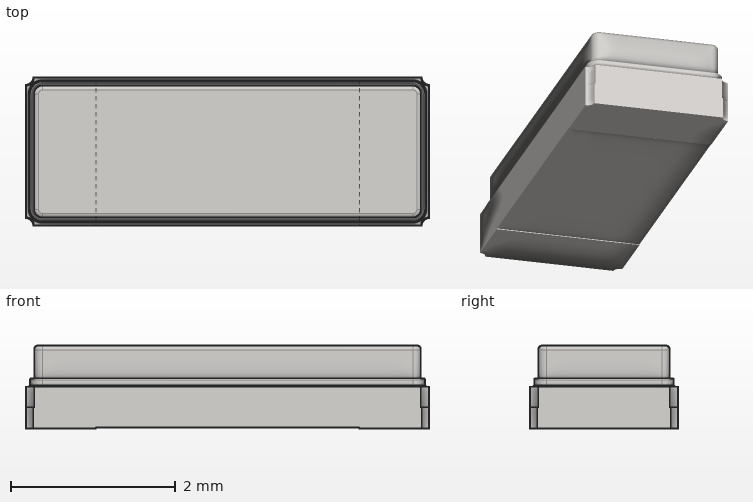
import cadquery as cq

base_length = 4.9
base_width = 1.8
base_height = 0.5
notch_radius = 0.1

plating = 0.01
pad_length = 0.85
plating_top = 0.26

collar_inset = 0.05
collar_height = 0.1
collar_edge = 0.02
seal_flare = 0.015
flare_slope = 45
lid_inset = 0.1
lid_corner_radius = 0.1
lid_top_fillet = 0.05
overall_height = 1.01

base_bottom = plating
base_top = base_bottom + base_height
collar_top = base_top + collar_height
collar_corner_radius = lid_corner_radius + lid_inset - collar_inset


def block(inset, bottom, top):
    """Rectangular block set in from the base outline on all four sides."""
    return (
        cq.Workplane("XY")
        .workplane(offset=bottom)
        .rect(base_length - 2 * inset, base_width - 2 * inset)
        .extrude(top - bottom)
    )


def corner_posts(radius, bottom, top):
    """Round posts centred on the four corners of the base outline."""
    return (
        cq.Workplane("XY")
        .workplane(offset=bottom)
        .rect(base_length, base_width, forConstruction=True)
        .vertices()
        .circle(radius)
        .extrude(top - bottom)
    )


def make_base():
    return block(0, base_bottom, base_top).cut(corner_posts(notch_radius, base_bottom, base_top))


def make_terminals():
    pad_gap = base_length - 2 * pad_length
    middle = cq.Workplane("XY").box(pad_gap, base_width, plating, centered=(True, True, False))
    pads = block(0, 0, base_bottom).cut(middle)
    notch_lining = corner_posts(notch_radius, base_bottom, plating_top).intersect(
        block(0, base_bottom, plating_top)
    )
    open_notch = corner_posts(notch_radius - plating, 0, plating_top)
    return pads.union(notch_lining).cut(open_notch)


def make_collar():
    """Collar with a rounded top edge and a small sloped flare where it meets the base."""
    collar = block(collar_inset, base_top, collar_top).edges("|Z").fillet(collar_corner_radius)
    collar = collar.faces(">Z").edges().fillet(collar_edge)
    flare_inset = collar_inset - seal_flare
    flare_outline = cq.Sketch().rect(base_length - 2 * flare_inset, base_width - 2 * flare_inset)
    flare_outline = flare_outline.vertices().fillet(collar_corner_radius + seal_flare)
    flare = (
        cq.Workplane("XY")
        .workplane(offset=base_top)
        .placeSketch(flare_outline)
        .extrude(seal_flare, taper=flare_slope)
    )
    return collar.union(flare)


def make_lid():
    lid = block(lid_inset, base_top, overall_height).edges("|Z").fillet(lid_corner_radius)
    return lid.faces(">Z").edges().fillet(lid_top_fillet)


result = make_base().union(make_terminals()).union(make_collar()).union(make_lid())